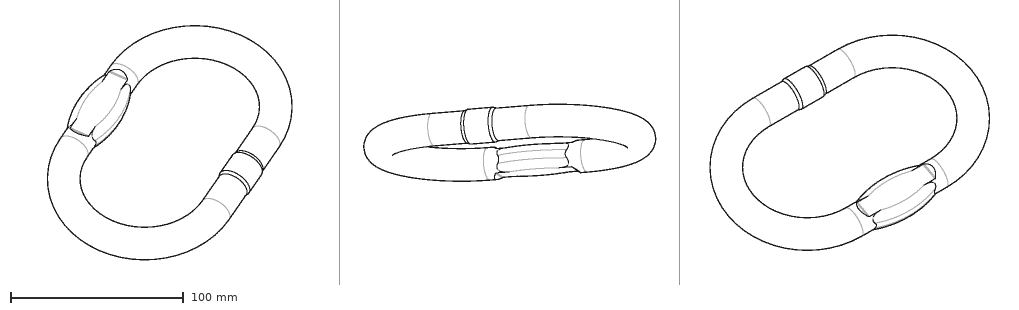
import cadquery as cq

overall_length = 173.0
wire_diameter = 19.0
ring_width = 113.0
wire_radius = wire_diameter / 2
bend_radius = (ring_width - wire_diameter) / 2
straight_length = overall_length - ring_width

sleeve_diameter = 20.5
sleeve_length = 19.2
sleeve_taper_length = 2.0

grip_thickness = 14.5
grip_width = 26.6
grip_side_radius = 57.1
grip_edge_fillet = 4.8

flat_length = 47.0
flat_end_run = 2.6
flat_end_fillet = 1.0


def make_ring():
    """Sweep the wire section along the oblong centreline."""
    half_straight = straight_length / 2
    far_end = half_straight + bend_radius
    path = (
        cq.Workplane("XY")
        .moveTo(bend_radius, -half_straight)
        .lineTo(bend_radius, half_straight)
        .threePointArc((0, far_end), (-bend_radius, half_straight))
        .lineTo(-bend_radius, -half_straight)
        .threePointArc((0, -far_end), (bend_radius, -half_straight))
        .close()
    )
    section = cq.Workplane("XZ", origin=(bend_radius, -half_straight, 0)).circle(wire_radius)
    return section.sweep(path)


def make_sleeve():
    """Revolve the tapered collar about the +X straight."""
    half_length = sleeve_length / 2
    half_crown = half_length - sleeve_taper_length
    sleeve_radius = sleeve_diameter / 2
    return (
        cq.Workplane("XY", origin=(bend_radius, 0, 0))
        .moveTo(0, -half_length)
        .lineTo(wire_radius, -half_length)
        .lineTo(sleeve_radius, -half_crown)
        .lineTo(sleeve_radius, half_crown)
        .lineTo(wire_radius, half_length)
        .lineTo(0, half_length)
        .close()
        .revolve(360, (0, 0, 0), (0, 1, 0))
    )


def make_flat_cutter():
    """Trapezoidal cutter with rounded lower corners, for the upper side of the -X straight."""
    half_bottom = flat_length / 2
    half_top = half_bottom + flat_end_run
    return (
        cq.Workplane("YZ", origin=(-bend_radius, 0, 0))
        .moveTo(-half_bottom, grip_thickness / 2)
        .lineTo(half_bottom, grip_thickness / 2)
        .lineTo(half_top, wire_radius)
        .lineTo(-half_top, wire_radius)
        .close()
        .extrude(wire_radius, both=True)
        .faces("<Z")
        .edges("|X")
        .fillet(flat_end_fillet)
    )


def make_grip_disc(side):
    """Round-edged disc whose rim forms the bowed grip face on the given X side."""
    disc_centre = -bend_radius + side * (grip_width / 2 - grip_side_radius)
    return (
        cq.Workplane("XY", origin=(disc_centre, 0, -grip_thickness / 2))
        .circle(grip_side_radius)
        .extrude(grip_thickness)
        .edges()
        .fillet(grip_edge_fillet)
    )


upper_cutter = make_flat_cutter()
lower_cutter = upper_cutter.mirror("XY")
grip = make_grip_disc(-1).intersect(make_grip_disc(1))

result = make_ring().cut(upper_cutter).cut(lower_cutter).union(grip).union(make_sleeve())